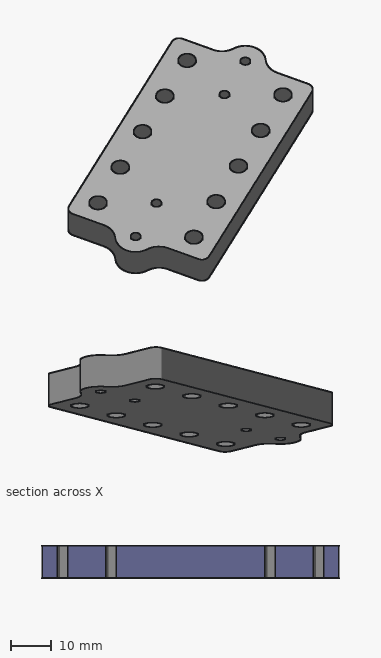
import cadquery as cq
import math

length = 72.8
width = 38.0
thickness = 8.0
corner_radius = 2.0

lug_radius = 5.0
body_length = length - 2 * lug_radius
end_y = body_length / 2

large_diameter = 4.4
column_spacing = 26.0
row_pitch = 12.75
row_count = 5

small_diameter = 2.5
inner_hole_y = 19.45


def plate_body():
    return (
        cq.Workplane("XY")
        .box(width, body_length, thickness, centered=(True, True, False))
        .edges("|Z")
        .fillet(corner_radius)
    )


def end_lug():
    """Lug on the +Y end, with its blends running tangent into the edge."""
    meet_angle = math.radians(30)
    meet_x = lug_radius * math.cos(meet_angle)
    meet_y = end_y + lug_radius * math.sin(meet_angle)
    blend_x = 2 * meet_x
    middle_angle = math.radians(60)
    middle_x = blend_x - lug_radius * math.cos(middle_angle)
    middle_y = end_y + lug_radius * (1 - math.sin(middle_angle))
    root_y = end_y - lug_radius
    return (
        cq.Workplane("XY")
        .moveTo(-blend_x, root_y)
        .lineTo(-blend_x, end_y)
        .threePointArc((-middle_x, middle_y), (-meet_x, meet_y))
        .threePointArc((0, end_y + lug_radius), (meet_x, meet_y))
        .threePointArc((middle_x, middle_y), (blend_x, end_y))
        .lineTo(blend_x, root_y)
        .close()
        .extrude(thickness)
    )


def through_holes(points, diameter):
    return cq.Workplane("XY").pushPoints(points).circle(diameter / 2).extrude(thickness)


lug = end_lug()
plate = plate_body().union(lug).union(lug.mirror("XZ")).clean()

large_points = [
    (side * column_spacing / 2, (row - (row_count - 1) / 2) * row_pitch)
    for side in (-1, 1)
    for row in range(row_count)
]
small_points = [(0, side * y) for side in (-1, 1) for y in (inner_hole_y, end_y)]

result = (
    plate
    .cut(through_holes(large_points, large_diameter))
    .cut(through_holes(small_points, small_diameter))
)